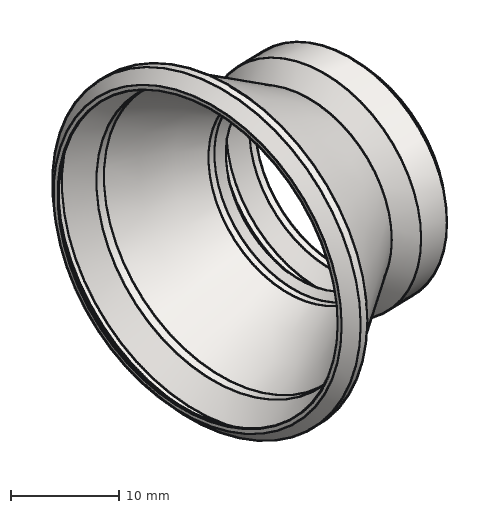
import cadquery as cq

length = 21.0
front_y = -length / 2

rim_radius = 18.88
mouth_chamfer = 1.25
rim_back = 2.2
rim_back_chamfer = 1.05
neck_radius = 11.32
neck_depth = 14.35
flange_radius = 13.25
flange_chamfer = 1.05

mouth_radius = 17.15
mouth_groove_radius = 18.27
mouth_groove_end = 1.93
seat_radius = 16.0
seat_end = 5.25
throat_radius = 10.87
throat_start = 14.08
throat_end = 14.9
bore_radius = 10.1
rear_groove_radius = 12.6
rear_groove_start = 17.9
rear_groove_end = 18.6
rear_mouth_radius = 11.1
land_length = 0.2

mouth_groove_start = land_length + mouth_groove_radius - mouth_radius
seat_start = mouth_groove_end + mouth_groove_radius - seat_radius
bore_depth = throat_end + throat_radius - bore_radius
rear_mouth_start = rear_groove_end + rear_groove_radius - rear_mouth_radius
flange_start = neck_depth + flange_radius - neck_radius

outer_profile = [
    (rim_radius - mouth_chamfer, 0),
    (rim_radius, mouth_chamfer),
    (rim_radius, rim_back),
    (rim_radius - rim_back_chamfer, rim_back + rim_back_chamfer),
    (neck_radius, neck_depth),
    (flange_radius, flange_start),
    (flange_radius, length - flange_chamfer),
    (flange_radius - flange_chamfer, length),
]
inner_profile = [
    (mouth_radius, 0),
    (mouth_radius, land_length),
    (mouth_groove_radius, mouth_groove_start),
    (mouth_groove_radius, mouth_groove_end),
    (seat_radius, seat_start),
    (seat_radius, seat_end),
    (throat_radius, throat_start),
    (throat_radius, throat_end),
    (bore_radius, bore_depth),
    (rear_groove_radius, rear_groove_start),
    (rear_groove_radius, rear_groove_end),
    (rear_mouth_radius, rear_mouth_start),
    (rear_mouth_radius, length),
]

section = [(radius, front_y + depth) for radius, depth in outer_profile + inner_profile[::-1]]
result = cq.Workplane("XY").polyline(section).close().revolve(360, (0, 0, 0), (0, 1, 0))